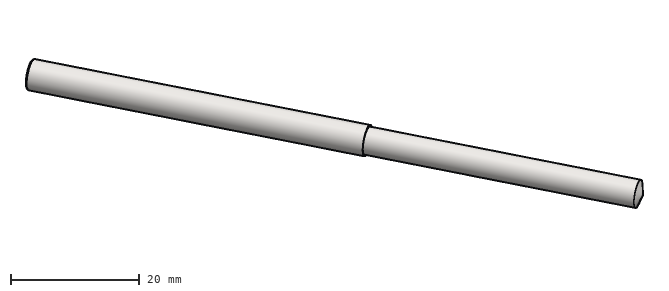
import cadquery as cq
import math

overall_length = 100.0
shank_diameter = 5.0
shank_length = 55.0
shank_chamfer = 0.25
body_diameter = 4.5
point_angle = 140.0

shank_radius = shank_diameter / 2
body_radius = body_diameter / 2
point_length = body_radius / math.tan(math.radians(point_angle / 2))
point_start = overall_length - point_length


def drill_blank():
    """Revolve the half profile of chamfered shank, body and conical point about X."""
    half_profile = [
        (0, 0),
        (0, shank_radius - shank_chamfer),
        (shank_chamfer, shank_radius),
        (shank_length, shank_radius),
        (shank_length, body_radius),
        (point_start, body_radius),
        (overall_length, 0),
    ]
    return (
        cq.Workplane("XY")
        .polyline(half_profile)
        .close()
        .revolve(360, (0, 0, 0), (1, 0, 0))
    )


result = drill_blank()